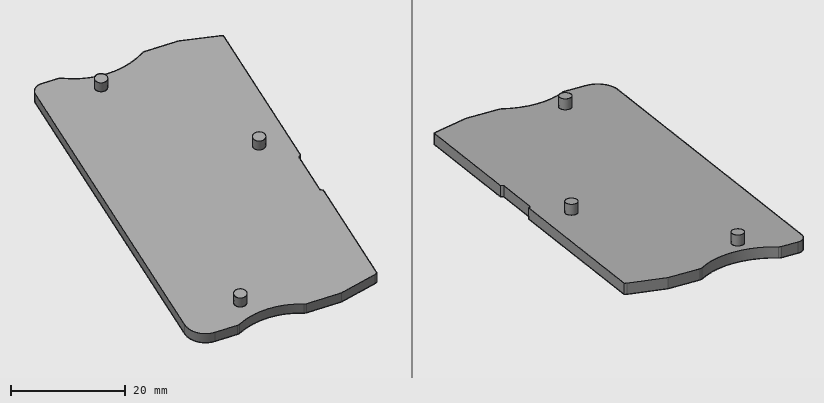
import cadquery as cq

length = 69.5
width = 36.0
plate_thickness = 2.2
total_height = 4.4

taper_height = 7.7
taper_inset = 1.8
bevel_height = 0.5
bevel_inset = 2.0

notch_left = 34.9
notch_right = 44.6
notch_depth = 0.5
notch_end_run = 0.35

left_recess_bottom = 5.55
left_recess_top = 21.55
left_recess_depth = 2.4
right_recess_bottom = 8.6
right_recess_top = 21.35
right_recess_depth = 1.6
recess_edge_radius = 1.0

left_corner_radius = 2.0
right_corner_radius = 4.0

pin_diameter = 2.35
pin_centers = [(5.1, 11.2), (64.4, 11.2), (29.75, 30.4)]


def make_plate():
    taper_bottom = width - taper_height
    bevel_bottom = width - bevel_height
    notch_floor = width - notch_depth
    left_recess_middle = (left_recess_bottom + left_recess_top) / 2
    right_recess_middle = (right_recess_bottom + right_recess_top) / 2
    plate = (
        cq.Workplane("XY")
        .moveTo(0, 0)
        .lineTo(length, 0)
        .lineTo(length, right_recess_bottom)
        .threePointArc((length - right_recess_depth, right_recess_middle), (length, right_recess_top))
        .lineTo(length, taper_bottom)
        .lineTo(length - taper_inset, bevel_bottom)
        .lineTo(length - bevel_inset, width)
        .lineTo(notch_right, width)
        .lineTo(notch_right - notch_end_run, notch_floor)
        .lineTo(notch_left + notch_end_run, notch_floor)
        .lineTo(notch_left, width)
        .lineTo(bevel_inset, width)
        .lineTo(taper_inset, bevel_bottom)
        .lineTo(0, taper_bottom)
        .lineTo(0, left_recess_top)
        .threePointArc((left_recess_depth, left_recess_middle), (0, left_recess_bottom))
        .close()
        .extrude(plate_thickness)
    )
    rounded_corners = [
        (0, 0, left_corner_radius),
        (length, 0, right_corner_radius),
        (0, left_recess_bottom, recess_edge_radius),
        (0, left_recess_top, recess_edge_radius),
        (length, right_recess_bottom, recess_edge_radius),
        (length, right_recess_top, recess_edge_radius),
    ]
    for x, y, radius in rounded_corners:
        corner = cq.selectors.NearestToPointSelector((x, y, plate_thickness / 2))
        plate = plate.edges("|Z").edges(corner).fillet(radius)
    return plate


def make_pins():
    return cq.Workplane("XY").pushPoints(pin_centers).circle(pin_diameter / 2).extrude(total_height)


result = make_plate().union(make_pins()).translate((-length / 2, -width / 2, 0))